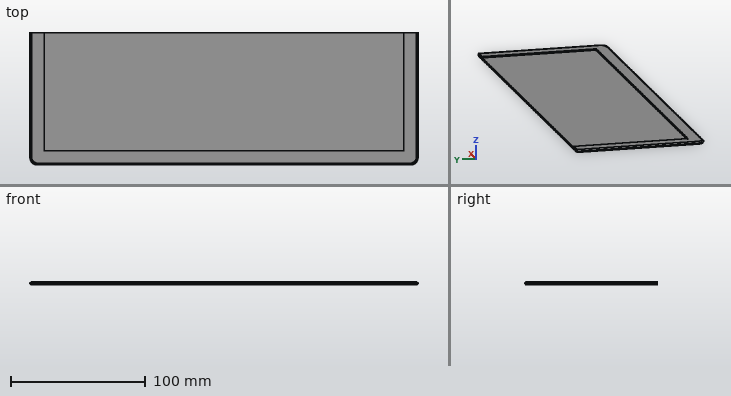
import cadquery as cq

length = 288.2
depth = 98.3
thickness = 2.1
upper_edge_inset = 1.2
lower_edge_inset = 1.0
widest_height = thickness / 2
corner_radius = 5.8
border_width = 10.7
pocket_depth = 1.0


def rounded_outline(inset, z):
    """Outline with a straight back edge and rounded front corners, moved in by the inset."""
    half_length = length / 2 - inset
    front = -depth / 2 + inset
    back = depth / 2
    radius = corner_radius - inset
    return (
        cq.Workplane("XY", origin=(0, 0, z))
        .moveTo(-half_length, back)
        .lineTo(-half_length, front + radius)
        .radiusArc((-half_length + radius, front), -radius)
        .lineTo(half_length - radius, front)
        .radiusArc((half_length, front + radius), -radius)
        .lineTo(half_length, back)
        .close()
    )


def bevelled_layer(lower_inset, lower_z, upper_inset, upper_z):
    """Layer whose left, front and right edges slope between two outlines."""
    lower_wire = rounded_outline(lower_inset, lower_z).val()
    upper_wire = rounded_outline(upper_inset, upper_z).val()
    return cq.Workplane(cq.Solid.makeLoft([lower_wire, upper_wire], True))


lower_layer = bevelled_layer(lower_edge_inset, 0, 0, widest_height)
upper_layer = bevelled_layer(0, widest_height, upper_edge_inset, thickness)

panel_length = length - 2 * border_width
panel_depth = depth - border_width
panel_pocket = cq.Workplane("XY", origin=(0, depth / 2, thickness)).rect(
    panel_length, 2 * panel_depth
).extrude(-pocket_depth)

result = lower_layer.union(upper_layer).cut(panel_pocket)